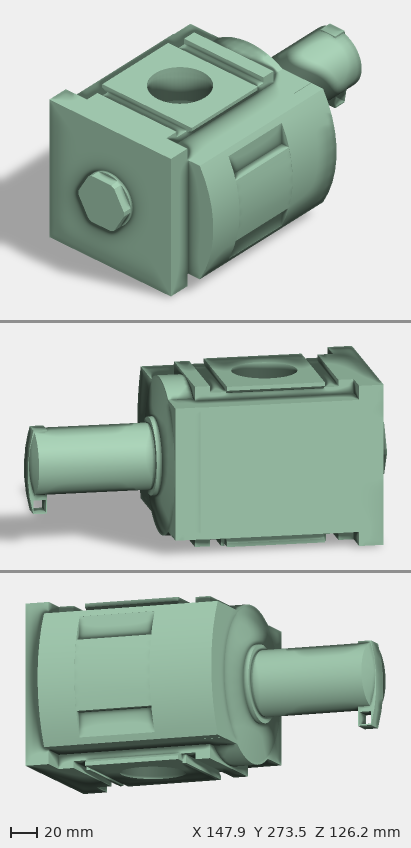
import cadquery as cq
import math


body_width = 122.5
body_height = 124.7
front_block_depth = 19.0
body_rear = 141.0
core_half_height = 51.5
rail_width = 79.9

groove_start = 30.5
groove_end = 129.6
groove_depth = 5.2
groove_corner_radius = 0.8
plate_start = 42.0
plate_end = 117.3
plate_width = 90.3
plate_edge_height = 3.0
plate_height = 6.0
port_diameter = 50.0
port_depth = 30.0

clip_width = 70.5
clip_thickness = 2.7
clip_projection = 1.5

flange_rear = 160.3
flange_size = 121.5
cone_base_diameter = 118.2
cone_rear = 164.5
collar_diameter = 60.0
collar_rear = 168.5

knob_diameter = 51.0
knob_shoulder = 258.2
knob_tip = 262.8
neck_diameter = 50.0
neck_rear = 170.0

strap_width = 14.8
strap_front = 248.3
strap_shoulder = 259.0
strap_crown = 263.5
strap_top = 26.0
strap_bottom = -39.0
strap_wall = 1.0
strap_bridge = 3.0

cover_start = 19.7
cover_edge_x = 73.0
cover_crown_x = 86.7
recess_floor_x = 75.5
recess_start = 49.5
recess_end = 110.2
recess_half_height = 46.5
window_half_height = 27.4
window_inset = 0.3

plug_diameter = 46.0
plug_washer = 2.5
plug_length = 10.0
plug_across_flats = 41.5


def box_between(x_range, y_range, z_range):
    """Box spanning the given pairs of limits."""
    lows, highs = zip(x_range, y_range, z_range)
    sizes = [high - low for low, high in zip(lows, highs)]
    return cq.Workplane("XY").box(*sizes, centered=False).translate(lows)


def both_sides(half_size):
    return (-half_size, half_size)


def disc(diameter, y_start, y_end):
    """Cylinder on the knob axis."""
    plane = cq.Workplane("XZ", origin=(0, y_start, 0))
    return plane.circle(diameter / 2).extrude(y_start - y_end)


def make_body():
    half_width = body_width / 2
    half_height = body_height / 2
    front = box_between(both_sides(half_width), (0, front_block_depth), both_sides(half_height))
    core = box_between(both_sides(half_width), (0, body_rear), both_sides(core_half_height))
    rail = box_between(both_sides(rail_width / 2), (0, body_rear), both_sides(half_height))
    return front.union(core).union(rail)


def add_port_face(body):
    """Cut the grooves in the top face, then add the undercut plate and its port."""
    top = body_height / 2
    half_plate = plate_width / 2
    undercut_x = rail_width / 2
    for y_range in ((groove_start, plate_start), (plate_end, groove_end)):
        groove = box_between(both_sides(rail_width / 2), y_range, (top - groove_depth, top))
        body = body.cut(groove.edges("|X and <Z").fillet(groove_corner_radius))
    plate = (
        cq.Workplane("XZ", origin=(0, plate_start, 0))
        .moveTo(-half_plate, top)
        .lineTo(half_plate, top)
        .lineTo(half_plate, top - plate_edge_height)
        .lineTo(undercut_x, top - plate_height)
        .lineTo(-undercut_x, top - plate_height)
        .lineTo(-half_plate, top - plate_edge_height)
        .close()
        .extrude(plate_start - plate_end)
    )
    port = (
        cq.Workplane("XY", origin=(0, (plate_start + plate_end) / 2, top))
        .circle(port_diameter / 2)
        .extrude(-port_depth)
    )
    return body.union(plate).cut(port)


def make_clip(y_start):
    bottom = -body_height / 2
    z_range = (bottom - clip_projection, bottom + groove_depth)
    return box_between(both_sides(clip_width / 2), (y_start, y_start + clip_thickness), z_range)


def make_neck():
    """Flange with rounded top and bottom, shallow cone and collar behind the body."""
    cone = (
        cq.Workplane("XY")
        .moveTo(0, flange_rear)
        .lineTo(cone_base_diameter / 2, flange_rear)
        .lineTo(collar_diameter / 2, cone_rear)
        .lineTo(0, cone_rear)
        .close()
        .revolve(360, (0, 0, 0), (0, 1, 0))
    )
    flange_plate = box_between(
        both_sides(flange_size / 2),
        (body_rear, flange_rear),
        both_sides(core_half_height),
    )
    flange = disc(flange_size, body_rear, flange_rear).union(flange_plate)
    return flange.union(cone).union(disc(collar_diameter, cone_rear, collar_rear))


def make_knob():
    """Cylinder with a spherical end on a slightly narrower neck."""
    radius = knob_diameter / 2
    rise = knob_tip - knob_shoulder
    sphere_radius = (radius**2 + rise**2) / (2 * rise)
    sphere_center = knob_tip - sphere_radius
    half_angle = math.asin(radius / sphere_radius) / 2
    arc_middle = (sphere_radius * math.sin(half_angle), sphere_center + sphere_radius * math.cos(half_angle))
    knob = (
        cq.Workplane("XY")
        .moveTo(0, neck_rear)
        .lineTo(radius, neck_rear)
        .lineTo(radius, knob_shoulder)
        .threePointArc(arc_middle, (0, knob_tip))
        .close()
        .revolve(360, (0, 0, 0), (0, 1, 0))
    )
    return knob.union(disc(neck_diameter, collar_rear, neck_rear))


def make_strap():
    """Strap with a crowned rear edge and a padlock eye below the knob."""
    middle = (strap_top + strap_bottom) / 2
    strap = (
        cq.Workplane("YZ")
        .moveTo(strap_front, strap_top)
        .lineTo(strap_shoulder, strap_top)
        .threePointArc((strap_crown, middle), (strap_shoulder, strap_bottom))
        .lineTo(strap_front, strap_bottom)
        .close()
        .extrude(strap_width / 2, both=True)
    )
    eye = box_between(
        both_sides(strap_width),
        (strap_front + strap_wall, strap_shoulder),
        (strap_bottom + strap_wall, -knob_diameter / 2 - strap_bridge),
    )
    return strap.cut(eye)


def crowned_block(x_start, x_edge, x_crown, half_height, y_start, y_end):
    """Block whose +X face is an arc in section, from x_edge at the rims to x_crown."""
    return (
        cq.Workplane("XZ", origin=(0, y_start, 0))
        .moveTo(x_start, -half_height)
        .lineTo(x_edge, -half_height)
        .threePointArc((x_crown, 0), (x_edge, half_height))
        .lineTo(x_start, half_height)
        .close()
        .extrude(y_start - y_end)
    )


def make_cover():
    """Crowned cover on the +X side, with a gauge window standing in a recess."""
    cover = crowned_block(
        body_width / 2, cover_edge_x, cover_crown_x, core_half_height, cover_start, flange_rear
    )
    recess = box_between(
        (recess_floor_x, cover_crown_x),
        (recess_start, recess_end),
        both_sides(recess_half_height),
    )
    cover_rise = cover_crown_x - cover_edge_x
    cover_radius = (core_half_height**2 + cover_rise**2) / (2 * cover_rise)
    window_radius = cover_radius - window_inset
    window_edge_x = cover_crown_x - cover_radius + math.sqrt(window_radius**2 - window_half_height**2)
    window = crowned_block(
        recess_floor_x,
        window_edge_x,
        cover_crown_x - window_inset,
        window_half_height,
        recess_start,
        recess_end,
    )
    return cover.cut(recess).union(window)


def make_plug():
    """Round washer under a hexagon whose corners are turned to the washer diameter."""
    hexagon = (
        cq.Workplane("XZ")
        .polygon(6, plug_across_flats / math.cos(math.pi / 6))
        .extrude(plug_length)
    )
    head = hexagon.intersect(disc(plug_diameter, 0, -plug_length))
    return head.union(disc(plug_diameter, 0, -plug_washer))


body = add_port_face(make_body())
body = add_port_face(body.mirror("XY")).mirror("XY")
result = body.union(make_cover()).union(make_neck())
result = result.union(make_knob()).union(make_strap()).union(make_plug())
for clip_start in (plate_start - clip_thickness, plate_end):
    result = result.union(make_clip(clip_start))